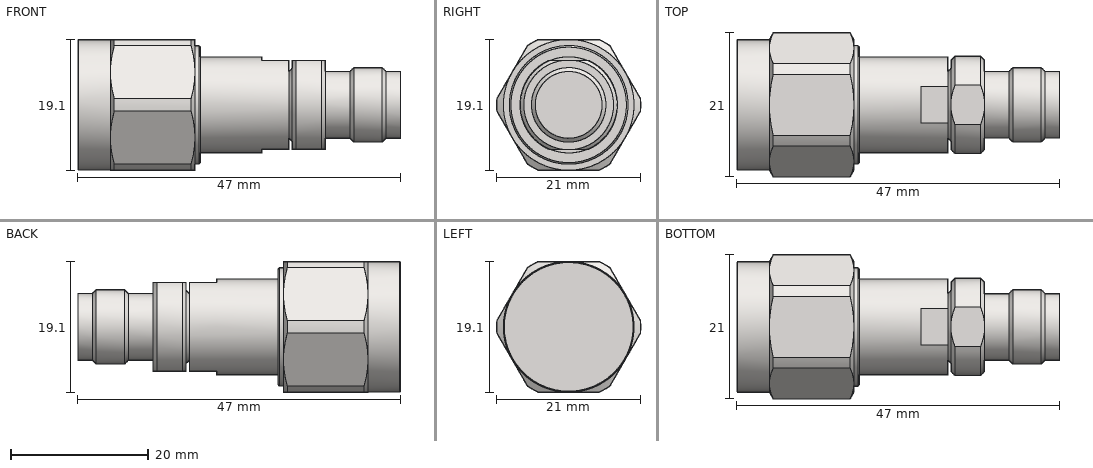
import cadquery as cq
import math


hex_start = 4.75
hex_end = 17.05
collar_end = 17.85
body_flat_start = 26.8
body_end = 30.75
rear_nut_start = 31.2
rear_nut_end = 36.05
ring_start = 39.6
ring_end = 44.9
overall_length = 47.0

hex_across_flats = 19.05
hex_across_corners = 21.0
sleeve_diameter = 19.05
collar_diameter = 17.3
body_diameter = 14.0
rear_nut_diameter = 14.2
wrench_across_flats = 12.95
neck_diameter = 9.75
ring_diameter = 10.85

sleeve_chamfer = 0.15
hex_chamfer_length = 0.55
collar_chamfer = 0.25
rear_nut_chamfer = 0.55
neck_flare = rear_nut_start - body_end
ring_chamfer = (ring_diameter - neck_diameter) / 2


def turned(profile):
    """Solid of revolution about X from (x, radius) points, closed along the axis."""
    first_x = profile[0][0]
    last_x = profile[-1][0]
    outline = [(first_x, 0)] + profile + [(last_x, 0)]
    return cq.Workplane("XY").polyline(outline).close().revolve(360, (0, 0, 0), (1, 0, 0))


def cylinder(start, end, diameter):
    return turned([(start, diameter / 2), (end, diameter / 2)])


def slab_between_flats(start, end):
    """Block that keeps the material between two flats facing up and down."""
    length = end - start
    width = 2 * rear_nut_diameter
    slab = cq.Workplane("XY").box(length, width, wrench_across_flats)
    return slab.translate((start + length / 2, 0, 0))


def front_sleeve():
    radius = sleeve_diameter / 2
    return turned([(0, radius - sleeve_chamfer), (sleeve_chamfer, radius), (hex_start, radius)])


def coupling_hexagon():
    """Hexagon with flats facing up and down and both ends turned to a cone."""
    sharp_corners = hex_across_flats / math.cos(math.pi / 6)
    prism = (
        cq.Workplane("YZ", origin=(hex_start, 0, 0))
        .polygon(6, sharp_corners)
        .extrude(hex_end - hex_start)
    )
    end_radius = hex_across_flats / 2
    corner_radius = hex_across_corners / 2
    envelope = turned([
        (hex_start, end_radius),
        (hex_start + hex_chamfer_length, corner_radius),
        (hex_end - hex_chamfer_length, corner_radius),
        (hex_end, end_radius),
    ])
    return prism.intersect(envelope)


def collar():
    radius = collar_diameter / 2
    return turned([
        (hex_end, radius),
        (collar_end - collar_chamfer, radius),
        (collar_end, radius - collar_chamfer),
    ])


def body():
    """Round body with a pair of wrench flats at its rear end."""
    plain = cylinder(collar_end, body_flat_start, body_diameter)
    flatted = cylinder(body_flat_start, body_end, body_diameter)
    return plain.union(flatted.intersect(slab_between_flats(body_flat_start, body_end)))


def rear_nut():
    """Chamfered disc with a pair of wrench flats."""
    radius = rear_nut_diameter / 2
    disc = turned([
        (rear_nut_start, radius - rear_nut_chamfer),
        (rear_nut_start + rear_nut_chamfer, radius),
        (rear_nut_end - rear_nut_chamfer, radius),
        (rear_nut_end, radius - rear_nut_chamfer),
    ])
    return disc.intersect(slab_between_flats(rear_nut_start, rear_nut_end))


def neck():
    """Core from the body to the rear tip, flared in the gap ahead of the rear nut."""
    radius = neck_diameter / 2
    return turned([
        (body_end, radius),
        (rear_nut_start, radius + neck_flare),
        (rear_nut_start, radius),
        (overall_length, radius),
    ])


def ring():
    """Raised ring on the neck, chamfered at both ends."""
    radius = ring_diameter / 2
    return turned([
        (ring_start, neck_diameter / 2),
        (ring_start + ring_chamfer, radius),
        (ring_end - ring_chamfer, radius),
        (ring_end, neck_diameter / 2),
    ])


result = (
    front_sleeve()
    .union(coupling_hexagon())
    .union(collar())
    .union(body())
    .union(neck())
    .union(rear_nut())
    .union(ring())
)